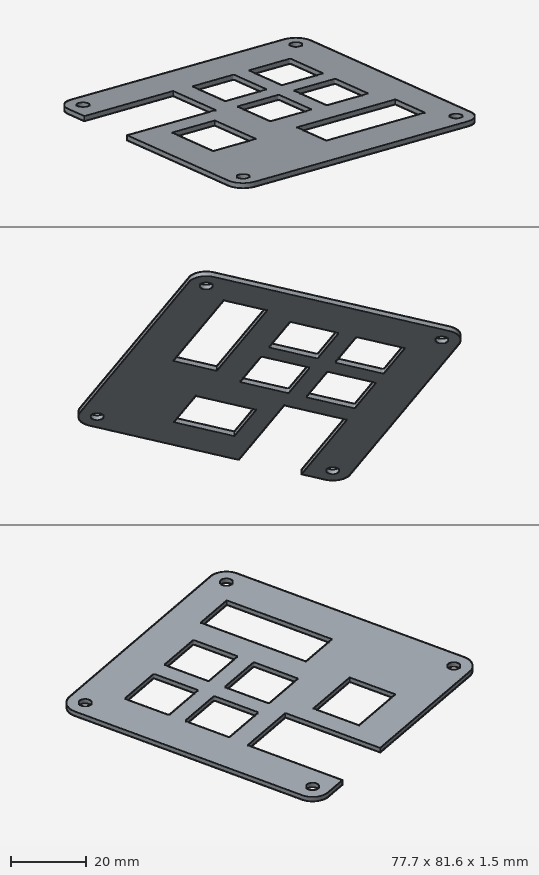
import cadquery as cq

plate_width = 77.7
plate_length = 81.6
plate_thickness = 1.5
corner_radius = 5.0

hole_diameter = 3.4
hole_inset = corner_radius

key_size = 13.95
key_pitch = 19.0
key_corner_radius = 0.3
key_grid_x = -10.1
key_grid_y = 11.7

tall_window_width = 12.5
tall_window_length = 33.1
tall_window_x = 20.5
tall_window_y = 14.45

wide_window_width = 17.4
wide_window_length = 14.4
wide_window_x = 5.55
wide_window_y = -23.1

notch_width = 18.0
notch_depth = 29.9
notch_x = -18.0


def rectangular_cutter(width, length, x, y):
    """Block through the full plate thickness, centred at (x, y)."""
    return (
        cq.Workplane("XY")
        .center(x, y)
        .rect(width, length)
        .extrude(plate_thickness)
    )


def key_cutters():
    """Four square blocks with slightly rounded corners."""
    return (
        cq.Workplane("XY")
        .center(key_grid_x, key_grid_y)
        .rarray(key_pitch, key_pitch, 2, 2)
        .rect(key_size, key_size)
        .extrude(plate_thickness)
        .edges("|Z")
        .fillet(key_corner_radius)
    )


def make_plate():
    """Rounded plate with a through hole at each corner."""
    return (
        cq.Workplane("XY")
        .rect(plate_width, plate_length)
        .extrude(plate_thickness)
        .edges("|Z")
        .fillet(corner_radius)
        .faces(">Z")
        .workplane()
        .rect(plate_width - 2 * hole_inset, plate_length - 2 * hole_inset, forConstruction=True)
        .vertices()
        .hole(hole_diameter)
    )


notch_y = (notch_depth - plate_length) / 2

result = (
    make_plate()
    .cut(key_cutters())
    .cut(rectangular_cutter(tall_window_width, tall_window_length, tall_window_x, tall_window_y))
    .cut(rectangular_cutter(wide_window_width, wide_window_length, wide_window_x, wide_window_y))
    .cut(rectangular_cutter(notch_width, notch_depth, notch_x, notch_y))
)